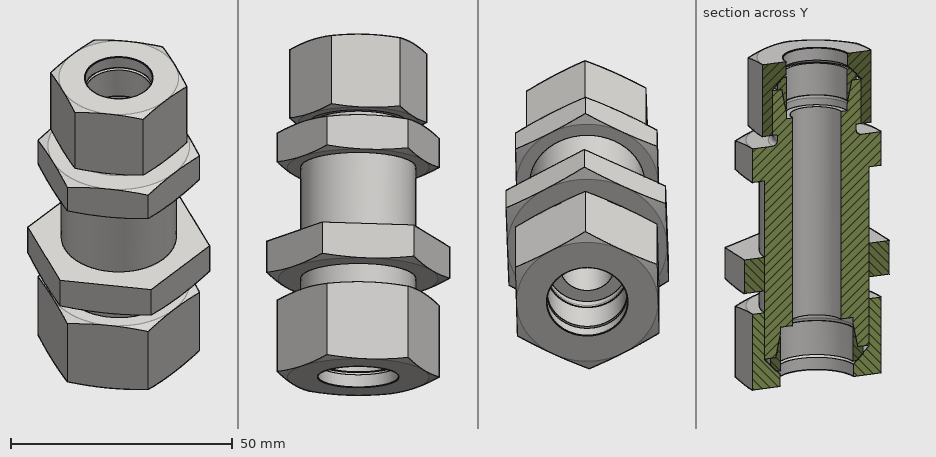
import cadquery as cq
import math

overall_height = 76.5
lower_nut_height = 18.0
locknut_base = 23.0
locknut_height = 8.0
flange_base = 48.95
flange_height = 8.0
upper_nut_height = 17.05

hex_sides = 6
upper_nut_flats = 27.0
lower_nut_flats = 32.0
flange_flats = lower_nut_flats
locknut_flats = 36.0
hex_chamfer_angle = 15.0
wrench_turn = 0.5

bore_diameter = 12.0
neck_diameter = 19.7
neck_root_radius = 1.1
shank_diameter = 26.0
upper_thread_diameter = 22.0
socket_depth = 7.0

upper_tube_diameter = 15.0
upper_mouth_diameter = 17.3
upper_collar_diameter = 19.7
lower_tube_diameter = 18.0
lower_mouth_diameter = 20.3
lower_collar_diameter = 23.0
tube_clearance = 0.15
nut_hole_depth = 3.0
nut_hole_chamfer = 0.15
ring_setback = 0.7
mouth_half_angle = 12.0
ring_nose_length = 4.75

flange_top = flange_base + flange_height
upper_nut_base = overall_height - upper_nut_height
mouth_slope = math.tan(math.radians(mouth_half_angle))
upper_hole_diameter = upper_tube_diameter + tube_clearance
lower_hole_diameter = lower_tube_diameter + tube_clearance


def seat_end_depth(hole_diameter, thread_diameter):
    """Depth below the nut's outer face at which the seat reaches the thread."""
    return nut_hole_depth + (thread_diameter - hole_diameter) / 2


body_top = overall_height - seat_end_depth(upper_hole_diameter, upper_thread_diameter)
body_bottom = seat_end_depth(lower_hole_diameter, shank_diameter)


def revolve_profile(points):
    """Revolve a closed outline of (radius, z) points about the Z axis."""
    return cq.Workplane("XZ").polyline(points).close().revolve(360, (0, 0, 0), (0, 1, 0))


def turn_over(shape, height):
    """Flip a shape end for end, so that the level z = height lands on z = 0."""
    return shape.rotate((0, 0, 0), (1, 0, 0), 180).translate((0, 0, height))


def hex_prism(flats, base, height, chamfer_bottom=True, chamfer_top=True):
    """Hexagonal prism with corners on the Y axis and conically chamfered ends."""
    half_side_angle = 180 / hex_sides
    corner_diameter = flats / math.cos(math.radians(half_side_angle))
    flat_radius = flats / 2
    corner_radius = corner_diameter / 2
    corner_drop = (corner_radius - flat_radius) * math.tan(math.radians(hex_chamfer_angle))
    top = base + height

    prism = (
        cq.Workplane("XY")
        .workplane(offset=base)
        .polygon(hex_sides, corner_diameter)
        .extrude(height)
        .rotate((0, 0, 0), (0, 0, 1), half_side_angle)
    )
    outline = [(0, base)]
    if chamfer_bottom:
        outline += [(flat_radius, base), (corner_radius, base + corner_drop)]
    else:
        outline += [(corner_radius, base)]
    if chamfer_top:
        outline += [(corner_radius, top - corner_drop), (flat_radius, top)]
    else:
        outline += [(corner_radius, top)]
    outline += [(0, top)]
    return prism.intersect(revolve_profile(outline))


def cylinder(diameter, base, top):
    return cq.Workplane("XY").workplane(offset=base).circle(diameter / 2).extrude(top - base)


def make_nut(flats, height, hole_diameter, thread_diameter):
    """Nut with its open, threaded end at z = 0 and its tube hole at z = height."""
    hole_radius = hole_diameter / 2
    thread_radius = thread_diameter / 2
    cavity = revolve_profile([
        (0, 0),
        (thread_radius, 0),
        (thread_radius, height - seat_end_depth(hole_diameter, thread_diameter)),
        (hole_radius, height - nut_hole_depth),
        (hole_radius, height - nut_hole_chamfer),
        (hole_radius + nut_hole_chamfer, height),
        (0, height),
    ])
    return hex_prism(flats, 0, height).cut(cavity)


def make_ring(tube_diameter, mouth_diameter, collar_diameter, seat_depth):
    """Cutting ring whose collar rests on the body's end face at z = 0, nose pointing down."""
    bore_radius = tube_diameter / 2
    mouth_radius = mouth_diameter / 2
    collar_radius = collar_diameter / 2
    seat_start = seat_depth - nut_hole_depth
    hole_radius = bore_radius + tube_clearance / 2
    return revolve_profile([
        (bore_radius, -ring_nose_length),
        (mouth_radius - ring_nose_length * mouth_slope, -ring_nose_length),
        (mouth_radius, 0),
        (collar_radius, 0),
        (collar_radius, seat_start - (collar_radius - hole_radius)),
        (hole_radius + ring_setback, seat_start - ring_setback),
        (bore_radius, seat_start - ring_setback),
    ])


def make_socket(tube_diameter, mouth_diameter):
    """Tube socket with a conical mouth, entered from z = 0 and running down."""
    tube_radius = tube_diameter / 2
    mouth_radius = mouth_diameter / 2
    mouth_depth = (mouth_radius - tube_radius) / mouth_slope
    return revolve_profile([
        (0, 0),
        (mouth_radius, 0),
        (tube_radius, -mouth_depth),
        (tube_radius, -socket_depth),
        (0, -socket_depth),
    ])


def make_neck():
    """Neck under the upper thread, flaring into the flange through a round fillet."""
    neck_radius = neck_diameter / 2
    fillet_mid = neck_root_radius * (1 - math.sqrt(0.5))
    return (
        cq.Workplane("XZ")
        .moveTo(0, flange_top)
        .lineTo(neck_radius + neck_root_radius, flange_top)
        .threePointArc(
            (neck_radius + fillet_mid, flange_top + fillet_mid),
            (neck_radius, flange_top + neck_root_radius),
        )
        .lineTo(neck_radius, upper_nut_base)
        .lineTo(0, upper_nut_base)
        .close()
        .revolve(360, (0, 0, 0), (0, 1, 0))
    )


def make_fitting_body():
    upper_socket = make_socket(upper_tube_diameter, upper_mouth_diameter)
    lower_socket = make_socket(lower_tube_diameter, lower_mouth_diameter)
    flange = hex_prism(flange_flats, flange_base, flange_height)
    flange = flange.rotate((0, 0, 0), (0, 0, 1), wrench_turn)
    return (
        cylinder(shank_diameter, body_bottom, flange_base)
        .union(flange)
        .union(make_neck())
        .union(cylinder(upper_thread_diameter, upper_nut_base, body_top))
        .cut(cylinder(bore_diameter, body_bottom, body_top))
        .cut(upper_socket.translate((0, 0, body_top)))
        .cut(turn_over(lower_socket, body_bottom))
    )


def make_locknut():
    blank = hex_prism(locknut_flats, locknut_base, locknut_height, chamfer_top=False)
    return blank.cut(cylinder(shank_diameter, locknut_base, locknut_base + locknut_height))


fitting_body = make_fitting_body()
locknut = make_locknut()

upper_nut = make_nut(
    upper_nut_flats, upper_nut_height, upper_hole_diameter, upper_thread_diameter
).translate((0, 0, upper_nut_base))
lower_nut = turn_over(
    make_nut(lower_nut_flats, lower_nut_height, lower_hole_diameter, shank_diameter),
    lower_nut_height,
).rotate((0, 0, 0), (0, 0, 1), wrench_turn)

upper_ring = make_ring(
    upper_tube_diameter, upper_mouth_diameter, upper_collar_diameter, overall_height - body_top
).translate((0, 0, body_top))
lower_ring = turn_over(
    make_ring(lower_tube_diameter, lower_mouth_diameter, lower_collar_diameter, body_bottom),
    body_bottom,
)

result = cq.Compound.makeCompound([
    fitting_body.val(),
    locknut.val(),
    upper_nut.val(),
    lower_nut.val(),
    upper_ring.val(),
    lower_ring.val(),
])